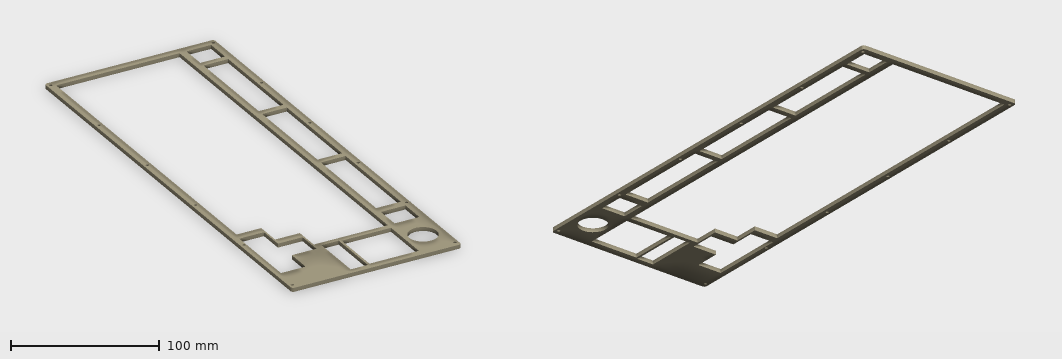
import cadquery as cq

length = 340.0
width = 131.0
thickness = 3.0
corner_radius = 2.0
left = -length / 2
front = -width / 2
back = width / 2

side_rim = 5.8
front_rim = 5.8
back_rim = 5.5
main_length = 286.0
main_columns = 15
key = main_length / main_columns
main_rows = 5
bottom_row_columns = 13
main_left = left + side_rim
main_right = main_left + main_length
function_back = back - back_rim
function_front = function_back - key
main_front = front + front_rim
main_back = main_front + main_rows * key

bank_count = 3
bank_length = 75.8
bank_gap = 4.8
first_bank_gap = 4.5
first_bank_left = main_left + key + first_bank_gap

knob_diameter = 21.0
knob_x = 145.0
knob_back_inset = 15.5
knob_y = back - knob_back_inset

side_size = 2 * key
side_center_x = 145.2
slim_length = 40.0
slim_width = 13.3
side_gap = 1.7
slim_back = main_back - side_size - side_gap

arrow_left = 89.8
arrow_rim = 4.5
arrow_front = front + arrow_rim
arrow_keys = 3

screw_diameter = 2.2
screw_left_inset = 3.7
screw_right_inset = 4.5
screw_columns = 6
screw_edge_inset = 2.7
screw_pitch = (length - screw_left_inset - screw_right_inset) / (screw_columns - 1)


def window(x_min, y_min, x_size, y_size):
    """Rectangular cutter through the plate, placed by its front left corner."""
    cutter = cq.Workplane("XY").box(x_size, y_size, thickness, centered=False)
    return cutter.translate((x_min, y_min, 0))


plate = (
    cq.Workplane("XY")
    .box(length, width, thickness, centered=(True, True, False))
    .edges("|Z")
    .fillet(corner_radius)
)

bottom_row_right = main_left + bottom_row_columns * key
main_outline = [
    (main_left, main_front),
    (bottom_row_right, main_front),
    (bottom_row_right, main_front + key),
    (main_right - key, main_front + key),
    (main_right - key, main_front + 2 * key),
    (main_right, main_front + 2 * key),
    (main_right, main_back),
    (main_left, main_back),
]
plate = plate.cut(cq.Workplane("XY").polyline(main_outline).close().extrude(thickness))

plate = plate.cut(window(main_left, function_front, key, key))
plate = plate.cut(window(main_right - key, function_front, key, key))
for bank in range(bank_count):
    bank_left = first_bank_left + bank * (bank_length + bank_gap)
    plate = plate.cut(window(bank_left, function_front, bank_length, key))

plate = plate.cut(window(side_center_x - side_size / 2, main_back - side_size, side_size, side_size))
plate = plate.cut(window(side_center_x - slim_length / 2, slim_back - slim_width, slim_length, slim_width))
plate = plate.cut(cq.Workplane("XY").center(knob_x, knob_y).circle(knob_diameter / 2).extrude(thickness))

plate = plate.cut(window(arrow_left, arrow_front, arrow_keys * key, key))
plate = plate.cut(window(arrow_left + key, arrow_front, key, 2 * key))

screws = [
    (left + screw_left_inset + column * screw_pitch, y)
    for column in range(screw_columns)
    for y in (front + screw_edge_inset, back - screw_edge_inset)
]
plate = plate.cut(cq.Workplane("XY").pushPoints(screws).circle(screw_diameter / 2).extrude(thickness))

result = plate